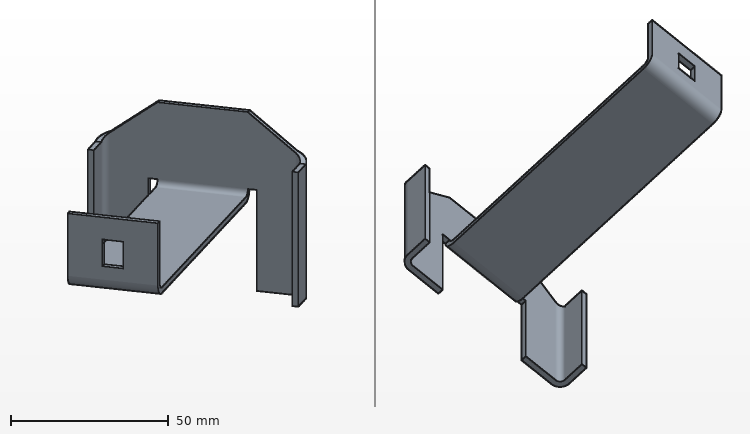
import cadquery as cq

width = 70.0
depth = 96.0
height = 60.0
thickness = 2.0
inner_radius = thickness
outer_radius = inner_radius + thickness

plate_top_width = 30.0
plate_shoulder_height = 48.0
notch_width = 36.0

flange_depth = 12.0
flange_height = 45.3

arm_width = 30.0
arm_bottom = height / 2
tab_top = 55.0
window_width = 7.0
window_height = 9.0
window_center_height = 43.0

bend_axis_x = width / 2 - outer_radius
bend_axis_y = depth - outer_radius
notch_top = arm_bottom + outer_radius


def make_plate():
    """Flat back plate with sloping shoulders and a notch open at the bottom."""
    return (
        cq.Workplane("XZ", origin=(0, depth, 0))
        .moveTo(notch_width / 2, 0)
        .lineTo(bend_axis_x, 0)
        .lineTo(bend_axis_x, plate_shoulder_height)
        .lineTo(plate_top_width / 2, height)
        .lineTo(-plate_top_width / 2, height)
        .lineTo(-bend_axis_x, plate_shoulder_height)
        .lineTo(-bend_axis_x, 0)
        .lineTo(-notch_width / 2, 0)
        .lineTo(-notch_width / 2, notch_top)
        .lineTo(notch_width / 2, notch_top)
        .close()
        .extrude(thickness)
    )


def make_side():
    """Right-hand bend and flange; the top of the bend descends as a helix."""
    bend = (
        cq.Workplane("XY", origin=(bend_axis_x, bend_axis_y, 0))
        .circle(outer_radius)
        .circle(inner_radius)
        .extrude(plate_shoulder_height)
    )
    quadrant = (
        cq.Workplane("XY", origin=(bend_axis_x, bend_axis_y, 0))
        .rect(outer_radius, outer_radius, centered=False)
        .extrude(plate_shoulder_height)
    )
    wedge_size = 2 * outer_radius
    wedge = (
        cq.Workplane("XY", origin=(bend_axis_x, bend_axis_y, flange_height))
        .rect(wedge_size, -wedge_size, centered=False)
        .twistExtrude(plate_shoulder_height - flange_height, 90)
    )
    flange = cq.Workplane("XY", origin=(width / 2 - thickness, depth - flange_depth, 0)).box(
        thickness, flange_depth - outer_radius, flange_height, centered=False
    )
    return bend.intersect(quadrant).cut(wedge).union(flange)


def make_arm():
    """Arm bent up into the plate at the back and into a windowed tab at the front."""
    arm = (
        cq.Workplane("YZ", origin=(-arm_width / 2, 0, 0))
        .moveTo(0, tab_top)
        .lineTo(0, notch_top)
        .radiusArc((outer_radius, arm_bottom), -outer_radius)
        .lineTo(bend_axis_y, arm_bottom)
        .radiusArc((depth, notch_top), -outer_radius)
        .lineTo(depth - thickness, notch_top)
        .radiusArc((bend_axis_y, arm_bottom + thickness), inner_radius)
        .lineTo(outer_radius, arm_bottom + thickness)
        .radiusArc((thickness, notch_top), inner_radius)
        .lineTo(thickness, tab_top)
        .close()
        .extrude(arm_width)
    )
    window = cq.Workplane("XY", origin=(0, thickness / 2, window_center_height)).box(
        window_width, 2 * thickness, window_height
    )
    return arm.cut(window)


right_side = make_side()
left_side = right_side.mirror("YZ")
result = make_plate().union(right_side).union(left_side).union(make_arm())